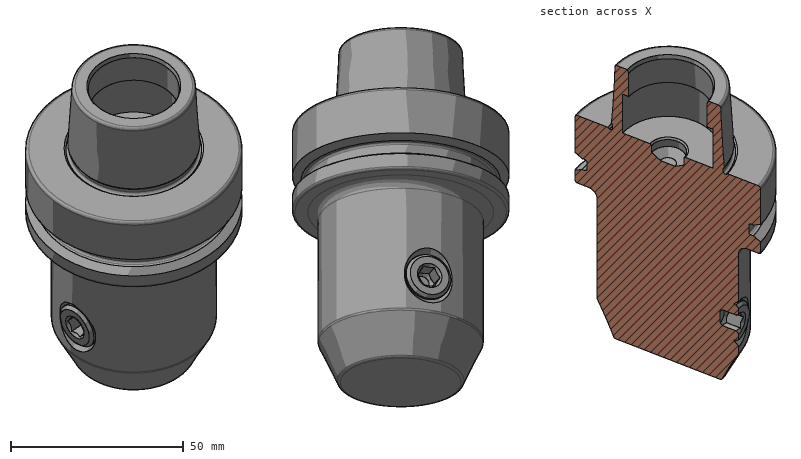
import cadquery as cq
import math

total_height = 105.0
flange_top = 80.0
flange_thickness = 26.0
flange_bottom = flange_top - flange_thickness
nose_cone_height = 12.7

flange_diameter = 63.0
body_diameter = 48.1
nose_end_radius = 18.2

taper_top_radius = 18.0
taper_foot_radius = 19.2
taper_foot_height = 2.0
relief_radius = 18.8
relief_step_drop = 0.6
face_recess_outer_radius = 20.3
face_recess_floor_radius = 19.7
face_recess_depth = 0.5
relief_fillet = 0.8

groove_diameter = 55.0
groove_middle = 62.1
groove_floor_width = 4.0
groove_mouth_width = 6.6
groove_shoulder_radius = 29.0
groove_fillet = 0.6

edge_round = 0.9
flange_lower_round = 0.7
shoulder_fillet = 2.9
nose_cone_blend = 1.6

bore_radius = 13.2
bore_mouth_radius = 13.6
bore_mouth_depth = 1.3
bore_lip_depth = 10.3
clamp_radius = 15.2
bore_depth = 25.0

centre_hole_mouth_radius = 6.0
centre_hole_radius = 5.5
centre_hole_floor_radius = 2.5
centre_hole_wall_depth = 3.2
centre_hole_tip_angle = 118.0

screw_height = 24.0
screw_radius = 6.9
screw_length = 10.5
screw_face_radius = 6.0
screw_rim_depth = 0.9
socket_mouth_radius = 3.8
socket_flats = 5.9
socket_depth = 6.3
socket_floor_radius = 2.2
sink_depth = 1.7
sink_clearance = 2.1


def revolve_profile(points):
    """Revolve (radius, height) points about the Z axis."""
    return cq.Workplane("XZ").polyline(points).close().revolve(360, (0, 0, 0), (0, 1, 0))


def round_ring(body, height, radius, outermost=True):
    """Round the outermost (or innermost) circular edge lying at one height."""
    margin = 0.02
    low_corner = (-flange_diameter, -flange_diameter, height - margin)
    high_corner = (flange_diameter, flange_diameter, height + margin)
    level = cq.selectors.BoxSelector(low_corner, high_corner)
    rank = -1 if outermost else 0
    return body.edges(level).edges(cq.selectors.RadiusNthSelector(rank)).fillet(radius)


def outer_body():
    """Turned outside: nose cone, body, grooved flange and taper shank."""
    flange_radius = flange_diameter / 2
    body_radius = body_diameter / 2
    groove_radius = groove_diameter / 2
    groove_floor_low = groove_middle - groove_floor_width / 2
    groove_floor_high = groove_middle + groove_floor_width / 2
    taper_foot = flange_top + taper_foot_height
    recess_floor = flange_top - face_recess_depth
    body = revolve_profile([
        (0, 0),
        (nose_end_radius, 0),
        (body_radius, nose_cone_height),
        (body_radius, flange_bottom),
        (flange_radius, flange_bottom),
        (flange_radius, groove_middle - groove_mouth_width / 2),
        (groove_shoulder_radius, groove_floor_low),
        (groove_radius, groove_floor_low),
        (groove_radius, groove_floor_high),
        (groove_shoulder_radius, groove_floor_high),
        (flange_radius, groove_middle + groove_mouth_width / 2),
        (flange_radius, flange_top),
        (face_recess_outer_radius, flange_top),
        (face_recess_floor_radius, recess_floor),
        (relief_radius, recess_floor),
        (relief_radius, taper_foot - relief_step_drop),
        (taper_foot_radius, taper_foot),
        (taper_top_radius, total_height),
        (0, total_height),
    ])
    body = round_ring(body, total_height, edge_round)
    body = round_ring(body, recess_floor, relief_fillet, outermost=False)
    body = round_ring(body, flange_top, edge_round)
    body = round_ring(body, groove_floor_high, groove_fillet, outermost=False)
    body = round_ring(body, groove_floor_low, groove_fillet, outermost=False)
    body = round_ring(body, flange_bottom, flange_lower_round)
    body = round_ring(body, flange_bottom, shoulder_fillet, outermost=False)
    body = round_ring(body, nose_cone_height, nose_cone_blend)
    return round_ring(body, 0, edge_round)


def clamping_bore():
    """Stepped cavity entered from the taper end, with a pointed hole in its floor."""
    lip = total_height - bore_lip_depth
    bore_floor = total_height - bore_depth
    mouth_chamfer = centre_hole_mouth_radius - centre_hole_radius
    hole_wall_end = bore_floor - centre_hole_wall_depth
    tip_slope = math.tan(math.radians(centre_hole_tip_angle / 2))
    hole_floor = hole_wall_end - (centre_hole_radius - centre_hole_floor_radius) / tip_slope
    return revolve_profile([
        (0, total_height),
        (bore_mouth_radius, total_height),
        (bore_radius, total_height - bore_mouth_depth),
        (bore_radius, lip),
        (clamp_radius, lip),
        (clamp_radius, bore_floor),
        (centre_hole_mouth_radius, bore_floor),
        (centre_hole_radius, bore_floor - mouth_chamfer),
        (centre_hole_radius, hole_wall_end),
        (centre_hole_floor_radius, hole_floor),
        (0, hole_floor),
    ])


def place_in_side(tool):
    """Turn a shape from the +Z axis to the -Y axis and lift it to the screw."""
    return tool.rotate((0, 0, 0), (1, 0, 0), 90).translate((0, 0, screw_height))


def screw_countersink():
    """45 degree countersink that ends at the screw radius."""
    body_radius = body_diameter / 2
    sink_end = body_radius - sink_depth
    sink_mouth = body_radius + sink_clearance
    sink_mouth_radius = screw_radius + sink_mouth - sink_end
    return place_in_side(revolve_profile([
        (0, sink_end),
        (screw_radius, sink_end),
        (sink_mouth_radius, sink_mouth),
        (0, sink_mouth),
    ]))


def clamping_screw():
    """Screw end flush with the body, chamfered at the rim, with a hexagon socket."""
    face = body_diameter / 2
    screw_root = face - screw_length
    screw = revolve_profile([
        (0, screw_root),
        (screw_radius, screw_root),
        (screw_radius, face - screw_rim_depth),
        (screw_face_radius, face),
        (0, face),
    ])

    hexagon_circle = socket_flats / math.cos(math.pi / 6)
    corner_radius = hexagon_circle / 2
    socket_floor = face - socket_depth
    hexagon = cq.Workplane("XY", origin=(0, 0, socket_floor)).polygon(6, hexagon_circle).extrude(socket_depth)
    floor_cone = revolve_profile([
        (0, socket_floor),
        (socket_floor_radius, socket_floor),
        (corner_radius, socket_floor + corner_radius - socket_floor_radius),
        (corner_radius, face),
        (0, face),
    ])
    mouth_depth = socket_mouth_radius - socket_flats / 2
    mouth_cone = revolve_profile([
        (0, face),
        (socket_mouth_radius, face),
        (socket_flats / 2, face - mouth_depth),
        (0, face - mouth_depth),
    ])
    return place_in_side(screw.cut(hexagon.intersect(floor_cone)).cut(mouth_cone))


def screw_seat():
    """Bore that receives the screw, so that its socket stays open inside the body."""
    seat = cq.Workplane("XY", origin=(0, 0, body_diameter / 2 - screw_length)).circle(screw_radius)
    return place_in_side(seat.extrude(screw_length))


result = outer_body().cut(clamping_bore())
result = result.cut(screw_countersink()).cut(screw_seat()).union(clamping_screw())